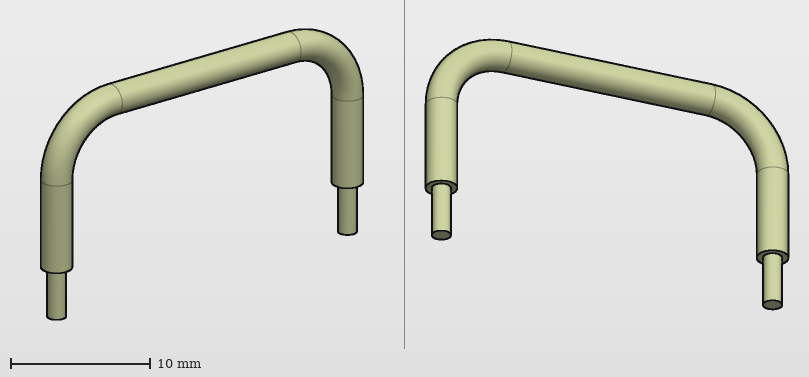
import cadquery as cq

overall_span = 28.3
overall_height = 16.85
bar_diameter = 2.3
pin_diameter = 1.4
pin_length = 3.85
bend_radius = 5.0

leg_y = (overall_span - bar_diameter) / 2
leg_bottom_z = pin_length
grip_z = overall_height - bar_diameter / 2
bend_start_z = grip_z - bend_radius
grip_end_y = leg_y - bend_radius


def make_handle():
    """Round bar swept along two legs, two quarter bends and a straight grip."""
    leg_height = bend_start_z - leg_bottom_z
    centreline = (
        cq.Workplane("YZ")
        .moveTo(-leg_y, leg_bottom_z)
        .vLine(leg_height)
        .radiusArc((-grip_end_y, grip_z), bend_radius)
        .hLine(2 * grip_end_y)
        .radiusArc((leg_y, bend_start_z), bend_radius)
        .vLine(-leg_height)
    )
    return (
        cq.Workplane("XY", origin=(0, -leg_y, leg_bottom_z))
        .circle(bar_diameter / 2)
        .sweep(centreline)
    )


def make_pin(y):
    """Plain mounting pin that meets the flat end of a leg."""
    return cq.Workplane("XY", origin=(0, y, 0)).circle(pin_diameter / 2).extrude(pin_length)


handle = make_handle()
pins = [make_pin(y) for y in (-leg_y, leg_y)]

result = cq.Compound.makeCompound([handle.val(), *[pin.val() for pin in pins]])